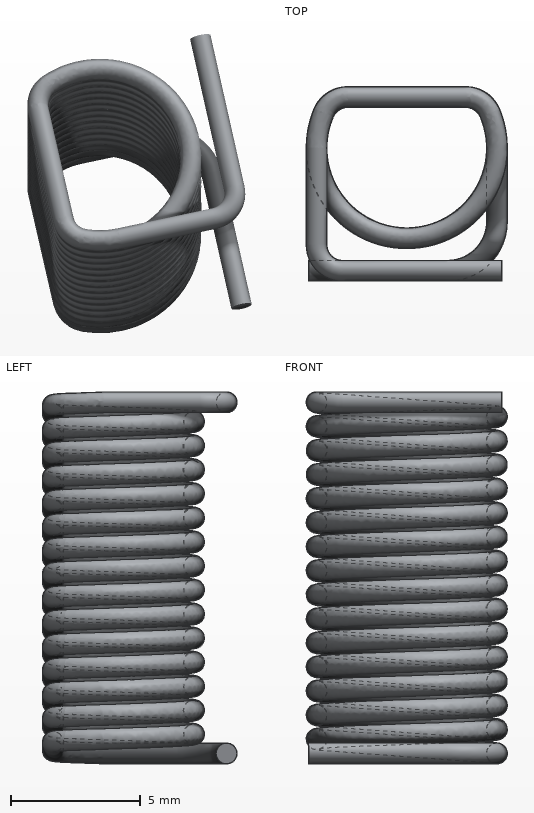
import cadquery as cq
import math

wire_diameter = 0.8
coil_height = 14.33
coil_width = 7.75
back_offset = 1.96
corner_radius = 1.0
full_turns = 14
front_slope = 0.034
corner_steps = 6

lead_offset = 4.73
top_bend_radius = 1.0
bottom_bend_radius = 1.89
top_lead_end = 3.67
bottom_lead_end = -3.78

coil_radius = (coil_width - wire_diameter) / 2
corner_y = back_offset - corner_radius
corner_x = math.sqrt((coil_radius - corner_radius) ** 2 - corner_y ** 2)
tangent_angle = math.atan2(corner_y, corner_x)
corner_length = corner_radius * (math.pi / 2 - tangent_angle)
back_length = 2 * corner_x
side_length = coil_radius * tangent_angle
round_length = coil_radius * math.pi + 2 * side_length

bottom_z = wire_diameter / 2
top_z = coil_height - wire_diameter / 2
front_rise = front_slope * coil_radius * math.pi
back_half_rise = (top_z - bottom_z - full_turns * front_rise) / (full_turns + 1)
front_slope_share = front_slope * (2 * side_length + corner_length)
back_slope = (back_half_rise - front_slope_share) / (back_length + corner_length)
round_rise = front_slope * round_length
side_rise = front_slope * side_length
corner_rise = corner_length * (front_slope + back_slope) / 2
back_rise = back_slope * back_length


def round_stretch(start_angle, sweep_angle, z):
    """Helical edge around the coil axis, climbing at the front slope."""
    height = front_slope * coil_radius * sweep_angle
    pitch = front_slope * coil_radius * 2 * math.pi
    helix = cq.Wire.makeHelix(pitch, height, coil_radius)
    helix = helix.rotate(cq.Vector(0, 0, 0), cq.Vector(0, 0, 1), math.degrees(start_angle))
    return helix.translate(cq.Vector(0, 0, z)).Edges()[0]


def corner(center_x, start_angle, start_slope, end_slope, z):
    """Tangent corner whose slope changes evenly from start to end."""
    sweep_angle = math.pi / 2 - tangent_angle
    points = []
    for step in range(corner_steps + 1):
        part = step / corner_steps
        angle = start_angle + part * sweep_angle
        rise = corner_length * (start_slope * part + (end_slope - start_slope) * part ** 2 / 2)
        x = center_x + corner_radius * math.cos(angle)
        y = corner_y + corner_radius * math.sin(angle)
        points.append(cq.Vector(x, y, z + rise))
    end_angle = start_angle + sweep_angle
    tangents = [
        cq.Vector(-math.sin(start_angle), math.cos(start_angle), start_slope),
        cq.Vector(-math.sin(end_angle), math.cos(end_angle), end_slope),
    ]
    return cq.Edge.makeSpline(points, tangents=tangents)


def flat_back(z):
    """Corner, straight back and corner, starting at height z."""
    line_start = cq.Vector(corner_x, back_offset, z + corner_rise)
    line_end = cq.Vector(-corner_x, back_offset, z + corner_rise + back_rise)
    return [
        corner(corner_x, tangent_angle, front_slope, back_slope, z),
        cq.Edge.makeLine(line_start, line_end),
        corner(-corner_x, math.pi / 2, back_slope, front_slope, line_end.z),
    ]


def coil():
    """Edges of the coil from the bottom lead to the top lead."""
    edges = [round_stretch(0, tangent_angle, bottom_z)]
    z = bottom_z + side_rise
    for turn in range(full_turns + 1):
        edges += flat_back(z)
        z += 2 * corner_rise + back_rise
        last = turn == full_turns
        sweep_angle = tangent_angle if last else math.pi + 2 * tangent_angle
        edges.append(round_stretch(math.pi - tangent_angle, sweep_angle, z))
        z += round_rise
    return edges


def lead(side, bend_radius, end_x, z):
    """Edges from the coil at X = side * coil_radius out to the cut end of the wire."""
    coil_x = side * coil_radius
    bend_x = coil_x - side * bend_radius
    bend_y = bend_radius - lead_offset
    diagonal = bend_radius * math.cos(math.pi / 4)
    bend_start = cq.Vector(coil_x, bend_y, z)
    bend_middle = cq.Vector(bend_x + side * diagonal, bend_y - diagonal, z)
    bend_end = cq.Vector(bend_x, -lead_offset, z)
    return [
        cq.Edge.makeLine(cq.Vector(coil_x, 0, z), bend_start),
        cq.Edge.makeThreePointArc(bend_start, bend_middle, bend_end),
        cq.Edge.makeLine(bend_end, cq.Vector(end_x, -lead_offset, z)),
    ]


bottom_lead = lead(1, bottom_bend_radius, bottom_lead_end, bottom_z)
top_lead = lead(-1, top_bend_radius, top_lead_end, top_z)
path = cq.Wire.assembleEdges(bottom_lead[::-1] + coil() + top_lead)
wire_end = cq.Workplane("YZ", origin=(bottom_lead_end, -lead_offset, bottom_z))
result = wire_end.circle(wire_diameter / 2).sweep(path, transition="right")